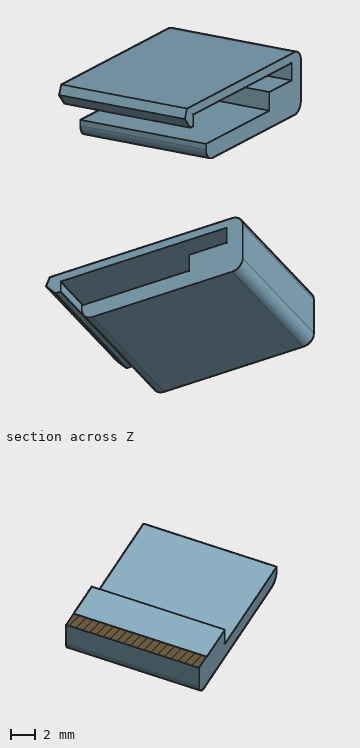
import cadquery as cq

width = 12.0
height = 5.4
top_length = 18.36
bottom_length = 15.0

top_thickness = 0.8
back_thickness = 1.5
bottom_thickness = 1.5
corner_radius = 1.0

step_length = 5.0
step_height = 3.1

hook_start = 17.0
hook_flat_end = 17.5
hook_drop = 1.0
top_edge_end = 18.0

arm_underside = height - top_thickness
hook_bottom = arm_underside - hook_drop


def at(distance, z):
    """Profile point at a distance forward (-Y) of the back face."""
    return (-distance, z)


def clip_body():
    """Extrude the closed side profile, centred across the width."""
    profile = [
        at(0, 0),
        at(0, height),
        at(top_edge_end, height),
        at(top_length, arm_underside),
        at(hook_flat_end, hook_bottom),
        at(hook_start, hook_bottom),
        at(hook_start, arm_underside),
        at(back_thickness, arm_underside),
        at(back_thickness, step_height),
        at(step_length, step_height),
        at(step_length, bottom_thickness),
        at(bottom_length, bottom_thickness),
        at(bottom_length, 0),
    ]
    return cq.Workplane("YZ").polyline(profile).close().extrude(width / 2, both=True)


def round_outer_corners(body):
    """Round both back corners and the lower front corner."""
    body = body.faces(">Y").edges("|X").fillet(corner_radius)
    return body.faces("<Z").edges("<Y").fillet(corner_radius)


result = round_outer_corners(clip_body())